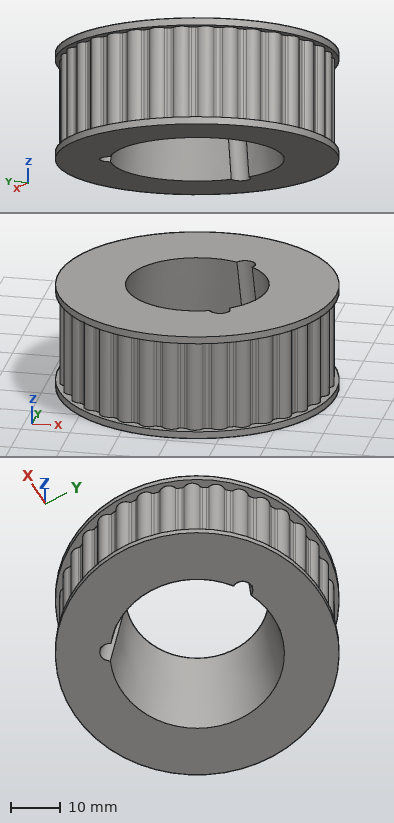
import cadquery as cq
import math


flange_diameter = 57.0
total_height = 22.0
flange_thickness = 1.5
toothed_height = total_height - 2 * flange_thickness
half_height = total_height / 2

tooth_count = 34
tip_radius = 27.65
root_radius = 26.7
tooth_nose_radius = 2.0
root_fillet_radius = 0.6
first_tooth_angle = -90.0
tooth_pitch_angle = 360.0 / tooth_count

bore_top_radius = 14.4
bore_taper_angle = 8.0
taper_slope = math.tan(math.radians(bore_taper_angle))
bore_bottom_radius = bore_top_radius + total_height * taper_slope

notch_radius = 2.05
notch_angles = (-60.0, 60.0)
cut_overrun = 2.85


def polar(radius, angle):
    """Point at the given radius and angle in degrees."""
    radians = math.radians(angle)
    return radius * math.cos(radians), radius * math.sin(radians)


def point_towards(start, end, distance):
    """Point at a distance from start along the line to end."""
    share = distance / math.dist(start, end)
    return tuple(s + share * (e - s) for s, e in zip(start, end))


def toothed_body():
    """Rim between the flanges: each tooth is a nose arc, a fillet, a root arc and a fillet."""
    nose_center_radius = tip_radius - tooth_nose_radius
    fillet_center_radius = root_radius + root_fillet_radius

    center_distance = tooth_nose_radius + root_fillet_radius
    fillet_offset_angle = math.degrees(math.acos(
        (nose_center_radius**2 + fillet_center_radius**2 - center_distance**2)
        / (2 * nose_center_radius * fillet_center_radius)
    ))

    def nose_end(tooth_angle, side):
        nose_center = polar(nose_center_radius, tooth_angle)
        fillet_center = polar(fillet_center_radius, tooth_angle + side * fillet_offset_angle)
        return point_towards(nose_center, fillet_center, tooth_nose_radius)

    def fillet_middle(tooth_angle, side):
        fillet_angle = tooth_angle + side * fillet_offset_angle
        fillet_center = polar(fillet_center_radius, fillet_angle)
        chord_middle = tuple(
            (a + b) / 2
            for a, b in zip(nose_end(tooth_angle, side), polar(root_radius, fillet_angle))
        )
        return point_towards(fillet_center, chord_middle, root_fillet_radius)

    outline = cq.Workplane("XY").moveTo(*nose_end(first_tooth_angle, -1))
    for index in range(tooth_count):
        tooth_angle = first_tooth_angle + index * tooth_pitch_angle
        next_angle = tooth_angle + tooth_pitch_angle
        root_start = polar(root_radius, tooth_angle + fillet_offset_angle)
        root_middle = polar(root_radius, tooth_angle + tooth_pitch_angle / 2)
        root_end = polar(root_radius, next_angle - fillet_offset_angle)
        outline = (
            outline
            .threePointArc(polar(tip_radius, tooth_angle), nose_end(tooth_angle, 1))
            .threePointArc(fillet_middle(tooth_angle, 1), root_start)
            .threePointArc(root_middle, root_end)
            .threePointArc(fillet_middle(next_angle, -1), nose_end(next_angle, -1))
        )
    return outline.close().extrude(toothed_height / 2, both=True)


def flange(bottom_z):
    return (
        cq.Workplane("XY", origin=(0, 0, bottom_z))
        .circle(flange_diameter / 2)
        .extrude(flange_thickness)
    )


def tapered_bore():
    return cq.Workplane(cq.Solid.makeCone(
        bore_bottom_radius, bore_top_radius, total_height, pnt=cq.Vector(0, 0, -half_height)
    ))


def screw_notch(angle):
    """Cylinder lying along the sloping bore wall, running out past both faces."""
    start_radius = bore_top_radius - cut_overrun * taper_slope
    start = cq.Vector(*polar(start_radius, angle), half_height + cut_overrun)
    direction = cq.Vector(*polar(taper_slope, angle), -1)
    length = (total_height + 2 * cut_overrun) * direction.Length
    return cq.Workplane(cq.Solid.makeCylinder(notch_radius, length, start, direction))


result = (
    toothed_body()
    .union(flange(-half_height))
    .union(flange(half_height - flange_thickness))
    .cut(tapered_bore())
)
for notch_angle in notch_angles:
    result = result.cut(screw_notch(notch_angle))